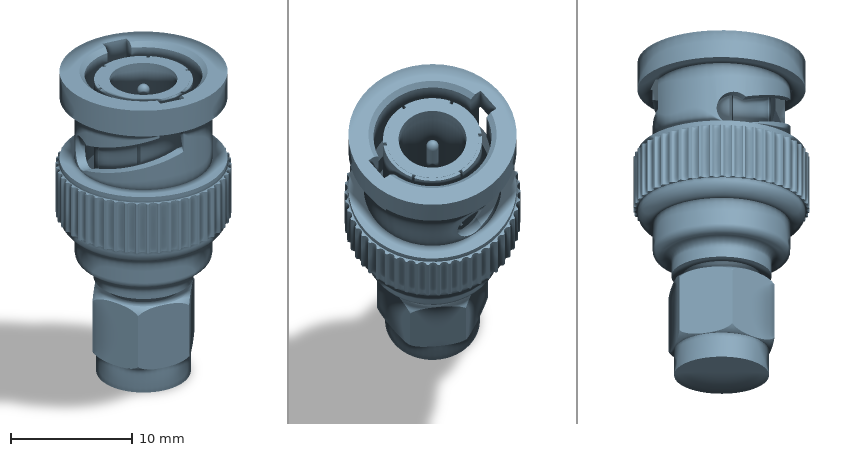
import cadquery as cq
import math


TOTAL_HEIGHT = 27.95
HEX_BOTTOM = 2.15
HEX_TOP = 8.07
BAYONET_BOTTOM = 8.85
SLEEVE_BOTTOM = 10.55
COLLAR_BOTTOM = 13.47
KNURL_BOTTOM = 14.78
KNURL_TOP = 19.35
COLLAR_TOP = 19.87
RIM_BOTTOM = 25.55

RIM_RADIUS = 6.93
COLLAR_RADIUS = RIM_RADIUS
COLLAR_ROUND = 1.15
SLEEVE_RADIUS = 5.67
TAIL_RADIUS = 4.14
SHOULDER_ROUND = 0.6
BORE_RADIUS = 4.85
MOUTH_RADIUS = 5.28
MOUTH_DEPTH = 0.35
SOCKET_FLOOR = 18.72

KNURL_RADIUS = 7.25
RIDGE_COUNT = 50
FLUTE_RADIUS = 0.4
FLUTE_BOTTOM_RADIUS = 7.0

SLOT_TURNS = (0, 180)
NOTCH_WIDTH = 2.18
NOTCH_REACH = 5.75
NOTCH_BOTTOM = 22.85
LOCK_HOLE_RADIUS = 1.495
LOCK_HOLE_HEIGHT = 21.5
RAMP_START = 20.05
RAMP_RISE_PER_TURN = 10.05
RAMP_HEIGHT = 2.37
RAMP_SWEEP_ANGLE = 110.0
CUT_CLEARANCE = 0.55

POCKET_ANGLE = 45
POCKET_TOP = 24.7
POCKET_DEPTH_LOW = 4.67
POCKET_DEPTH_HIGH = 4.1
POCKET_SIDE_NEAR = 1.37
POCKET_SIDE_FAR = 3.13

CORE_TOP = 27.2
BARREL_TOP = CORE_TOP - 0.03
BARREL_RADIUS = 4.08
BARREL_HOLE_RADIUS = 2.8
SLIT_COUNT = 6
SLIT_WIDTH = 0.28
SLIT_BOTTOM = 19.28
CORE_RADIUS = 3.8
PIN_RADIUS = 0.5
PIN_TIP = 26.7

NECK_RADIUS = 3.2
HEX_ACROSS_FLATS = 8.0
HEX_CORNER_RADIUS = HEX_ACROSS_FLATS / math.sqrt(3)
HEX_FACE_RADIUS = 3.95
HEX_CHAMFER_HEIGHT = 0.6
HEX_CHAMFER_BULGE = 0.05
FERRULE_RADIUS = 3.9


def cylinder(radius, bottom, top):
    return cq.Workplane("XY").workplane(offset=bottom).circle(radius).extrude(top - bottom)


def turned(profile):
    """Revolve a closed radius-height profile about the Z axis."""
    return profile.close().revolve(360, (0, 0, 0), (0, 1, 0))


def shell_blank():
    """Outer form of the bayonet shell, still solid inside."""
    arc_end = SHOULDER_ROUND * (1 - math.sqrt(0.5))
    collar_arc = COLLAR_ROUND * (1 - math.sqrt(0.5))
    profile = (
        cq.Workplane("XZ")
        .moveTo(0, BAYONET_BOTTOM)
        .lineTo(TAIL_RADIUS, BAYONET_BOTTOM)
        .lineTo(TAIL_RADIUS, SLEEVE_BOTTOM - SHOULDER_ROUND)
        .threePointArc(
            (TAIL_RADIUS + arc_end, SLEEVE_BOTTOM - arc_end),
            (TAIL_RADIUS + SHOULDER_ROUND, SLEEVE_BOTTOM),
        )
        .lineTo(SLEEVE_RADIUS - SHOULDER_ROUND, SLEEVE_BOTTOM)
        .threePointArc(
            (SLEEVE_RADIUS - arc_end, SLEEVE_BOTTOM + arc_end),
            (SLEEVE_RADIUS, SLEEVE_BOTTOM + SHOULDER_ROUND),
        )
        .lineTo(SLEEVE_RADIUS, COLLAR_BOTTOM)
        .lineTo(COLLAR_RADIUS - COLLAR_ROUND, COLLAR_BOTTOM)
        .threePointArc(
            (COLLAR_RADIUS - collar_arc, COLLAR_BOTTOM + collar_arc),
            (COLLAR_RADIUS, COLLAR_BOTTOM + COLLAR_ROUND),
        )
        .lineTo(COLLAR_RADIUS, COLLAR_TOP)
        .lineTo(SLEEVE_RADIUS, COLLAR_TOP)
        .lineTo(SLEEVE_RADIUS, RIM_BOTTOM)
        .lineTo(RIM_RADIUS, RIM_BOTTOM)
        .lineTo(RIM_RADIUS, TOTAL_HEIGHT)
        .lineTo(0, TOTAL_HEIGHT)
    )
    return turned(profile)


def knurl_ring():
    """Ring of narrow ridges left between round-bottomed flutes, with one ridge on +X."""
    pitch = 360 / RIDGE_COUNT
    flutes = (
        cq.Workplane("XY")
        .workplane(offset=KNURL_BOTTOM)
        .polarArray(FLUTE_BOTTOM_RADIUS + FLUTE_RADIUS, pitch / 2, 360, RIDGE_COUNT)
        .circle(FLUTE_RADIUS)
        .extrude(KNURL_TOP - KNURL_BOTTOM)
    )
    return cylinder(KNURL_RADIUS, KNURL_BOTTOM, KNURL_TOP).cut(flutes)


def shell_bore():
    """Socket of the shell with its flared mouth."""
    profile = (
        cq.Workplane("XZ")
        .moveTo(0, SOCKET_FLOOR)
        .lineTo(BORE_RADIUS, SOCKET_FLOOR)
        .lineTo(BORE_RADIUS, TOTAL_HEIGHT - MOUTH_DEPTH)
        .lineTo(MOUTH_RADIUS, TOTAL_HEIGHT)
        .lineTo(0, TOTAL_HEIGHT)
    )
    return turned(profile)


def ramp():
    """Helical slot through the sleeve wall, climbing from -Y round to the far side of the +X notch."""
    inner = BORE_RADIUS - CUT_CLEARANCE
    depth = SLEEVE_RADIUS + CUT_CLEARANCE - inner
    rise = RAMP_RISE_PER_TURN * RAMP_SWEEP_ANGLE / 360
    path = cq.Wire.makeHelix(RAMP_RISE_PER_TURN, rise, SLEEVE_RADIUS)
    swept = (
        cq.Workplane("XZ")
        .center(inner + depth / 2, RAMP_HEIGHT / 2)
        .rect(depth, RAMP_HEIGHT)
        .sweep(cq.Workplane(path), isFrenet=True)
        .rotate((0, 0, 0), (0, 0, 1), -90)
        .translate((0, 0, RAMP_START))
    )
    span = 2 * RIM_RADIUS
    keep = cq.Workplane("XY").box(span, span, TOTAL_HEIGHT, centered=(True, True, False))
    return swept.intersect(keep.translate((0, NOTCH_WIDTH / 2 - span / 2, 0)))


def entry_notch():
    """Square channel on +X, open at the top, running down into the end of the ramp."""
    height = TOTAL_HEIGHT - NOTCH_BOTTOM
    return (
        cq.Workplane("XY")
        .box(NOTCH_REACH, NOTCH_WIDTH, height, centered=(False, True, False))
        .translate((0, 0, TOTAL_HEIGHT - height))
    )


def notch_pocket():
    """Wedge cut into the bore wall beside the notch, with its outer face leaning in at the top."""
    inner = BARREL_HOLE_RADIUS
    return (
        cq.Workplane("XZ", origin=(0, -POCKET_SIDE_NEAR, 0))
        .polyline(
            [
                (inner, NOTCH_BOTTOM),
                (POCKET_DEPTH_LOW, NOTCH_BOTTOM),
                (POCKET_DEPTH_HIGH, POCKET_TOP),
                (inner, POCKET_TOP),
            ]
        )
        .close()
        .extrude(POCKET_SIDE_FAR - POCKET_SIDE_NEAR)
        .rotate((0, 0, 0), (0, 0, 1), POCKET_ANGLE)
    )


def lock_hole():
    """Round hole through the -Y wall at the low end of the ramp."""
    return (
        cq.Workplane("XZ")
        .center(0, LOCK_HOLE_HEIGHT)
        .circle(LOCK_HOLE_RADIUS)
        .extrude(RIM_RADIUS)
    )


def contact_barrel():
    """Hollow contact standing in the socket, its outer ring slit down the sides and its core raised."""
    barrel = cylinder(BARREL_RADIUS, SOCKET_FLOOR, BARREL_TOP)
    barrel = barrel.union(cylinder(CORE_RADIUS, SOCKET_FLOOR, CORE_TOP))
    barrel = barrel.cut(cylinder(BARREL_HOLE_RADIUS, SOCKET_FLOOR, CORE_TOP))
    core = cylinder(CORE_RADIUS, SLIT_BOTTOM, BARREL_TOP)
    ring = cylinder(BARREL_RADIUS, SLIT_BOTTOM, BARREL_TOP).cut(core)
    blade = cq.Workplane("XY").box(BORE_RADIUS, SLIT_WIDTH, TOTAL_HEIGHT, centered=(False, True, False))
    pitch = 360 / SLIT_COUNT
    for index in range(SLIT_COUNT):
        slit = ring.intersect(blade.rotate((0, 0, 0), (0, 0, 1), pitch * (index + 0.5)))
        barrel = barrel.cut(slit)
    return barrel


def contact_pin():
    """Round-tipped pin on the axis."""
    pin = cylinder(PIN_RADIUS, SOCKET_FLOOR, PIN_TIP - PIN_RADIUS)
    tip = cq.Workplane("XY").sphere(PIN_RADIUS).translate((0, 0, PIN_TIP - PIN_RADIUS))
    return pin.union(tip)


def make_bayonet_plug():
    plug = shell_blank().union(knurl_ring()).cut(shell_bore())
    for turn in SLOT_TURNS:
        for cutter in (ramp(), entry_notch(), notch_pocket(), lock_hole()):
            plug = plug.cut(cutter.rotate((0, 0, 0), (0, 0, 1), turn))
    return plug.union(contact_barrel()).union(contact_pin())


def hex_nut():
    """Hexagon with corners on +Y and -Y, its ends rounded down at the corners."""
    middle_radius = (HEX_FACE_RADIUS + HEX_CORNER_RADIUS) / 2 + HEX_CHAMFER_BULGE
    middle_drop = HEX_CHAMFER_HEIGHT / 2 - HEX_CHAMFER_BULGE
    envelope = turned(
        cq.Workplane("XZ")
        .moveTo(0, HEX_BOTTOM)
        .lineTo(HEX_FACE_RADIUS, HEX_BOTTOM)
        .threePointArc(
            (middle_radius, HEX_BOTTOM + middle_drop),
            (HEX_CORNER_RADIUS, HEX_BOTTOM + HEX_CHAMFER_HEIGHT),
        )
        .lineTo(HEX_CORNER_RADIUS, HEX_TOP - HEX_CHAMFER_HEIGHT)
        .threePointArc(
            (middle_radius, HEX_TOP - middle_drop),
            (HEX_FACE_RADIUS, HEX_TOP),
        )
        .lineTo(0, HEX_TOP)
    )
    prism = (
        cq.Workplane("XY")
        .workplane(offset=HEX_BOTTOM)
        .polygon(6, 2 * HEX_CORNER_RADIUS)
        .extrude(HEX_TOP - HEX_BOTTOM)
        .rotate((0, 0, 0), (0, 0, 1), 30)
    )
    return prism.intersect(envelope)


def make_hex_plug():
    ferrule = cylinder(FERRULE_RADIUS, 0, HEX_BOTTOM)
    neck = cylinder(NECK_RADIUS, HEX_TOP, BAYONET_BOTTOM)
    return hex_nut().union(ferrule).union(neck)


bayonet_plug = make_bayonet_plug()
hex_plug = make_hex_plug()

result = cq.Compound.makeCompound([bayonet_plug.val(), hex_plug.val()])